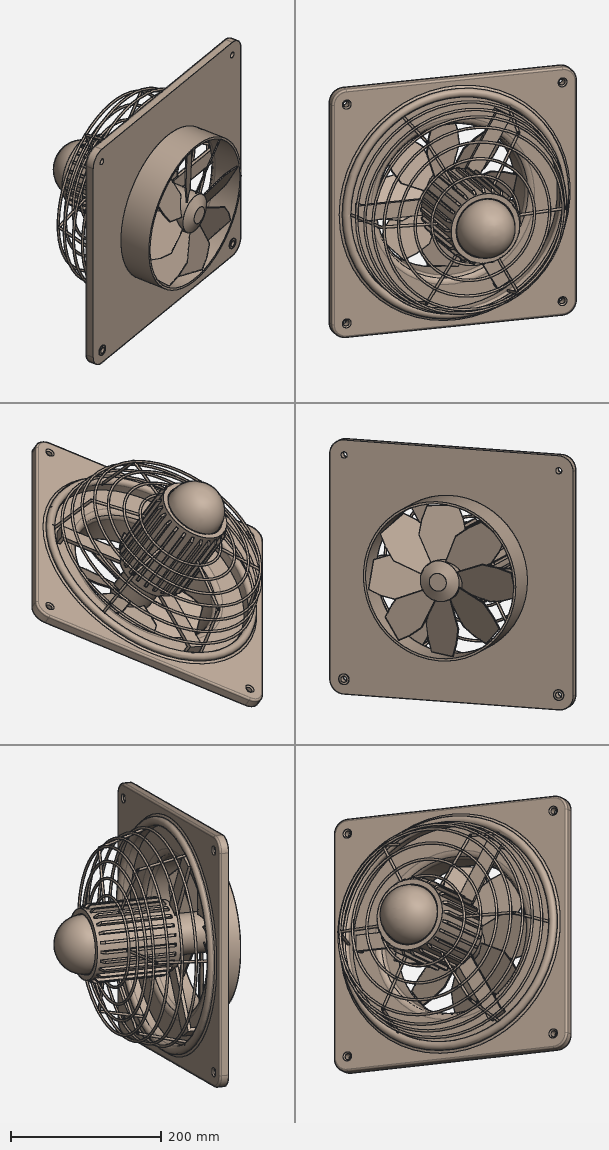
import cadquery as cq
import math


plate_size = 345.0
plate_depth = 13.0
plate_corner_radius = 20.0
plate_edge_radius = 2.8
plate_front = -plate_depth

hole_pitch = 304.3
hole_diameter = 8.3
countersink_diameter = 12.5
countersink_angle = 90.0
spacer_diameter = 14.5
spacer_height = 1.0

bead_outer_radius = 159.5
bead_inner_radius = 147.5
bead_foot_radius = 163.0
bead_front = -22.5
bead_foot_height = 1.7
recess_floor = -5.2
throat_radius = 105.0
throat_wall = 3.0
throat_end = 45.2
bellmouth_radius = 10.5

housing_radius = 48.3
housing_front = -136.5
housing_rear = -15.2
rib_count = 24
rib_radius = 53.0
rib_width = 3.5
rib_front = -131.5
rib_rear = -23.0
rib_front_slope = 5.2
rib_rear_slope = 3.0
rib_root_overlap = 1.7

dome_radius = 40.0
dome_tip = -175.5
groove_width = 1.0
groove_depth = 1.7

strut_angles = (0.0, 120.0, 240.0)
strut_width = 21.7
strut_front = -18.0
strut_thickness = 5.0
strut_end_radius = 137.0
strut_root_radius = 34.5

hub_radius = 27.5
hub_rear = 52.0
hub_nose_length = 7.2
hub_nose_radius = 12.0
blade_count = 8
blade_centre = 34.0
blade_pitch = 28.0
blade_thickness = 1.7
blade_tip_radius = 101.0
blade_tip_half_width = 18.3
blade_shoulder_radius = 82.8
blade_shoulder_half_width = 24.5
blade_wide_radius = 62.0
blade_max_half_width = 28.0
blade_root_radius = 24.0
blade_root_half_width = 13.8

spoke_count = 6
spoke_diameter = 3.5
ring_wire_diameter = 3.0
ring_offset = 2.8
spoke_inner = (-95.5, 46.5)
spoke_bend = (-85.5, 129.5)
spoke_outer = (-15.5, 149.0)
front_ring_radii = (61.5, 84.2, 106.5, 126.3)
side_ring_places = (-72.0, -53.8, -35.5)


def cylinder_x(radius, start, end):
    """Solid cylinder around the fan axis."""
    return cq.Workplane("YZ").workplane(offset=start).circle(radius).extrude(end - start)


def turned(solid, angle):
    """Copy of a shape turned around the fan axis."""
    return solid.rotate((0, 0, 0), (1, 0, 0), angle)


def make_plate():
    """Square plate with rounded front edge, plus the two rear spacers."""
    plate = (
        cq.Workplane("YZ")
        .rect(plate_size, plate_size)
        .extrude(plate_front)
        .edges("|X")
        .fillet(plate_corner_radius)
        .faces("<X")
        .edges()
        .fillet(plate_edge_radius)
    )
    lower_holes = [(side * hole_pitch / 2, -hole_pitch / 2) for side in (-1, 1)]
    spacers = cq.Workplane("YZ").pushPoints(lower_holes).circle(spacer_diameter / 2).extrude(spacer_height)
    return plate.union(spacers)


def make_bead():
    """Half-round bead on a small flared foot, standing on the plate."""
    crest_radius = (bead_outer_radius - bead_inner_radius) / 2
    shoulder = bead_front + crest_radius
    middle = (bead_outer_radius + bead_inner_radius) / 2
    return (
        cq.Workplane("XY")
        .moveTo(recess_floor, bead_inner_radius)
        .lineTo(shoulder, bead_inner_radius)
        .threePointArc((bead_front, middle), (shoulder, bead_outer_radius))
        .lineTo(plate_front - bead_foot_height, bead_outer_radius)
        .lineTo(plate_front, bead_foot_radius)
        .lineTo(recess_floor, bead_foot_radius)
        .close()
        .revolve(360, (0, 0, 0), (1, 0, 0))
    )


def make_opening():
    """Air passage: recess inside the bead, bellmouth and throat bore."""
    mouth_radius = throat_radius + bellmouth_radius
    mouth_end = recess_floor + bellmouth_radius
    arc_reach = bellmouth_radius * (1 - math.sqrt(0.5))
    return (
        cq.Workplane("XY")
        .moveTo(bead_front, 0)
        .lineTo(bead_front, bead_inner_radius)
        .lineTo(recess_floor, bead_inner_radius)
        .lineTo(recess_floor, mouth_radius)
        .threePointArc(
            (recess_floor + arc_reach, throat_radius + arc_reach),
            (mouth_end, throat_radius),
        )
        .lineTo(throat_end, throat_radius)
        .lineTo(throat_end, 0)
        .close()
        .revolve(360, (0, 0, 0), (1, 0, 0))
    )


def make_screw_hole():
    """Cutting body for one countersunk hole, lying on the fan axis."""
    drill = cylinder_x(hole_diameter / 2, plate_front, spacer_height)
    sink_depth = (countersink_diameter - hole_diameter) / 2 / math.tan(math.radians(countersink_angle / 2))
    sink = cq.Solid.makeCone(
        countersink_diameter / 2,
        hole_diameter / 2,
        sink_depth,
        cq.Vector(plate_front, 0, 0),
        cq.Vector(1, 0, 0),
    )
    return drill.union(cq.Workplane(sink))


def make_frame():
    throat = cylinder_x(throat_radius + throat_wall, plate_front / 2, throat_end)
    frame = make_plate().union(throat).union(make_bead()).cut(make_opening())
    for y_side in (-1, 1):
        for z_side in (-1, 1):
            screw_hole = make_screw_hole().translate((0, y_side * hole_pitch / 2, z_side * hole_pitch / 2))
            frame = frame.cut(screw_hole)
    return frame


def make_motor():
    housing = cylinder_x(housing_radius, housing_front, housing_rear)
    groove = cylinder_x(dome_radius + groove_width, housing_front, housing_front + groove_depth)
    dome_centre = dome_tip + dome_radius
    dome = cq.Workplane("XY").sphere(dome_radius).translate((dome_centre, 0, 0))
    housing = housing.cut(groove).union(dome)
    rib = (
        cq.Workplane("XZ")
        .moveTo(rib_front, housing_radius - rib_root_overlap)
        .lineTo(rib_front, housing_radius)
        .lineTo(rib_front + rib_front_slope, rib_radius)
        .lineTo(rib_rear - rib_rear_slope, rib_radius)
        .lineTo(rib_rear, rib_radius - rib_rear_slope)
        .lineTo(rib_rear, housing_radius - rib_root_overlap)
        .close()
        .extrude(rib_width / 2, both=True)
    )
    for index in range(rib_count):
        housing = housing.union(turned(rib, index * 360 / rib_count))
    return housing


def make_strut():
    """Flat bar along +Y whose outer end is bent back onto the recess floor."""
    strut_rear = strut_front + strut_thickness
    return (
        cq.Workplane("XY")
        .moveTo(strut_front, strut_root_radius)
        .lineTo(strut_front, strut_end_radius)
        .lineTo(recess_floor, strut_end_radius)
        .lineTo(recess_floor, strut_end_radius - strut_thickness)
        .lineTo(strut_rear, strut_end_radius - strut_thickness)
        .lineTo(strut_rear, strut_root_radius)
        .close()
        .extrude(strut_width / 2, both=True)
    )


def make_impeller():
    impeller = cylinder_x(hub_radius, housing_rear, hub_rear)
    impeller = impeller.faces(">X").chamfer(hub_nose_length, hub_radius - hub_nose_radius)
    half_outline = [
        (blade_root_half_width, blade_root_radius),
        (blade_max_half_width, blade_wide_radius),
        (blade_shoulder_half_width, blade_shoulder_radius),
        (blade_tip_half_width, blade_tip_radius),
    ]
    stretch = 1 / math.cos(math.radians(blade_pitch))
    near_side = [(half_width * stretch, radius) for half_width, radius in half_outline]
    far_side = [(-across, radius) for across, radius in reversed(near_side)]
    blade = (
        cq.Workplane("YZ")
        .polyline(near_side + far_side)
        .close()
        .extrude(blade_thickness / 2, both=True)
        .rotate((0, 0, 0), (0, 0, 1), blade_pitch)
        .translate((blade_centre, 0, 0))
    )
    for index in range(blade_count):
        impeller = impeller.union(turned(blade, index * 360 / blade_count))
    return impeller


def make_spoke():
    """Bent wire lying along +Y, following the guard's front face and then its side."""
    path = cq.Workplane("XY").polyline([spoke_inner, spoke_bend, spoke_outer])
    start_direction = cq.Vector(*spoke_bend) - cq.Vector(*spoke_inner)
    start_plane = cq.Plane(origin=(*spoke_inner, 0), xDir=(0, 0, 1), normal=start_direction)
    return cq.Workplane(start_plane).circle(spoke_diameter / 2).sweep(path, transition="round")


def make_guard_ring(x, radius):
    ring = cq.Solid.makeTorus(radius, ring_wire_diameter / 2, cq.Vector(x, 0, 0), cq.Vector(1, 0, 0))
    return turned(cq.Workplane(ring), 180 / spoke_count)


def make_guard():
    spoke = make_spoke()
    guard = spoke
    for index in range(1, spoke_count):
        guard = guard.union(turned(spoke, index * 360 / spoke_count))

    front_slope = (spoke_bend[0] - spoke_inner[0]) / (spoke_bend[1] - spoke_inner[1])
    for radius in front_ring_radii:
        spoke_x = spoke_bend[0] + front_slope * (radius - spoke_bend[1])
        guard = guard.union(make_guard_ring(spoke_x - ring_offset, radius))

    side_slope = (spoke_outer[1] - spoke_bend[1]) / (spoke_outer[0] - spoke_bend[0])
    for x in side_ring_places:
        spoke_radius = spoke_bend[1] + side_slope * (x - spoke_bend[0])
        guard = guard.union(make_guard_ring(x, spoke_radius + ring_offset))
    return guard


fan = make_frame().union(make_motor()).union(make_impeller())
for strut_angle in strut_angles:
    fan = fan.union(turned(make_strut(), strut_angle))
result = fan.union(make_guard())